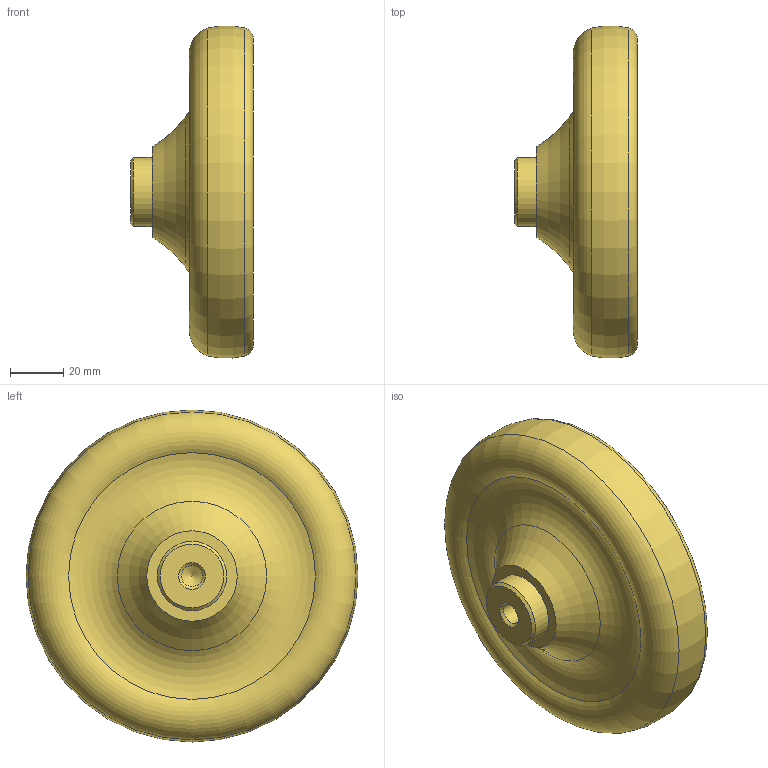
import cadquery as cq
import math


STUB_DIAMETER = 26.0
STUB_LENGTH = 8.0
STUB_CHAMFER = 1.0
BORE_DIAMETER = 8.0
BORE_DEPTH = 20.0
BORE_TIP_ANGLE = 118.0
BORE_MOUTH_DIAMETER = 10.0

HUB_FRONT_RADIUS = 17.0
HUB_END_X = 20.4
HUB_END_RADIUS = 28.1
HUB_FLARE_RADIUS = 40.0
WEB_DISH_RADIUS = 18.0
WEB_OUTER_RADIUS = 46.4

OVERALL_WIDTH = 46.0
WHEEL_RADIUS = 62.5
RIM_FRONT_X = 22.0
RIM_NOSE_RADIUS = 10.0
RIM_NOSE_CENTER_RADIUS = 52.15
CROWN_FRONT_X = 28.8
CROWN_APEX_X = 36.0
BACK_ROUND_RADIUS = 4.0


def on_circle(center, radius, angle):
    """Point on a circle, with the angle in radians from the +X axis."""
    return (center[0] + radius * math.cos(angle), center[1] + radius * math.sin(angle))


def angle_from(center, point):
    """Direction from a center to a point, in radians from 0 to 2 pi."""
    return math.atan2(point[1] - center[1], point[0] - center[0]) % (2 * math.pi)


def middle_of_arc(center, radius, start, end):
    """Point halfway along the arc between two points on a circle."""
    middle_angle = (angle_from(center, start) + angle_from(center, end)) / 2
    return on_circle(center, radius, middle_angle)


def middle_of_hollow(start, end, radius):
    """Halfway point of an arc from start to end that hollows into the part, on the back and axis side."""
    chord = math.dist(start, end)
    sag = radius - math.sqrt(radius**2 - (chord / 2) ** 2)
    chord_x = (end[0] - start[0]) / chord
    chord_r = (end[1] - start[1]) / chord
    return (
        (start[0] + end[0]) / 2 + sag * chord_r,
        (start[1] + end[1]) / 2 - sag * chord_x,
    )


def make_wheel():
    hub_front = (STUB_LENGTH, HUB_FRONT_RADIUS)
    hub_end = (HUB_END_X, HUB_END_RADIUS)
    flare_middle = middle_of_hollow(hub_front, hub_end, HUB_FLARE_RADIUS)

    nose_center = (RIM_FRONT_X + RIM_NOSE_RADIUS, RIM_NOSE_CENTER_RADIUS)
    nose_start_angle = math.pi - math.asin((WEB_OUTER_RADIUS - nose_center[1]) / RIM_NOSE_RADIUS)
    nose_end_angle = math.acos((CROWN_FRONT_X - nose_center[0]) / RIM_NOSE_RADIUS)
    web_end = on_circle(nose_center, RIM_NOSE_RADIUS, nose_start_angle)
    nose_end = on_circle(nose_center, RIM_NOSE_RADIUS, nose_end_angle)
    nose_middle = middle_of_arc(nose_center, RIM_NOSE_RADIUS, web_end, nose_end)

    web_middle = middle_of_hollow(hub_end, web_end, WEB_DISH_RADIUS)

    crown_drop = WHEEL_RADIUS - nose_end[1]
    crown_half_width = CROWN_APEX_X - CROWN_FRONT_X
    crown_radius = (crown_half_width**2 + crown_drop**2) / (2 * crown_drop)
    crown_center = (CROWN_APEX_X, WHEEL_RADIUS - crown_radius)

    back_center_x = OVERALL_WIDTH - BACK_ROUND_RADIUS
    center_distance = crown_radius - BACK_ROUND_RADIUS
    crown_end_angle = math.acos((back_center_x - CROWN_APEX_X) / center_distance)
    back_center = on_circle(crown_center, center_distance, crown_end_angle)
    crown_end = on_circle(crown_center, crown_radius, crown_end_angle)
    back_middle = on_circle(back_center, BACK_ROUND_RADIUS, crown_end_angle / 2)

    profile = (
        cq.Workplane("XY")
        .moveTo(0, 0)
        .lineTo(0, STUB_DIAMETER / 2 - STUB_CHAMFER)
        .lineTo(STUB_CHAMFER, STUB_DIAMETER / 2)
        .lineTo(STUB_LENGTH, STUB_DIAMETER / 2)
        .lineTo(*hub_front)
        .threePointArc(flare_middle, hub_end)
        .threePointArc(web_middle, web_end)
        .threePointArc(nose_middle, nose_end)
        .threePointArc((CROWN_APEX_X, WHEEL_RADIUS), crown_end)
        .threePointArc(back_middle, (OVERALL_WIDTH, back_center[1]))
        .lineTo(OVERALL_WIDTH, 0)
        .close()
    )
    return profile.revolve(360, (0, 0, 0), (1, 0, 0))


def make_bore():
    bore_radius = BORE_DIAMETER / 2
    mouth_radius = BORE_MOUTH_DIAMETER / 2
    tip_length = bore_radius / math.tan(math.radians(BORE_TIP_ANGLE / 2))
    profile = (
        cq.Workplane("XY")
        .moveTo(0, 0)
        .lineTo(0, mouth_radius)
        .lineTo(mouth_radius - bore_radius, bore_radius)
        .lineTo(BORE_DEPTH, bore_radius)
        .lineTo(BORE_DEPTH + tip_length, 0)
        .close()
    )
    return profile.revolve(360, (0, 0, 0), (1, 0, 0))


result = make_wheel().cut(make_bore())